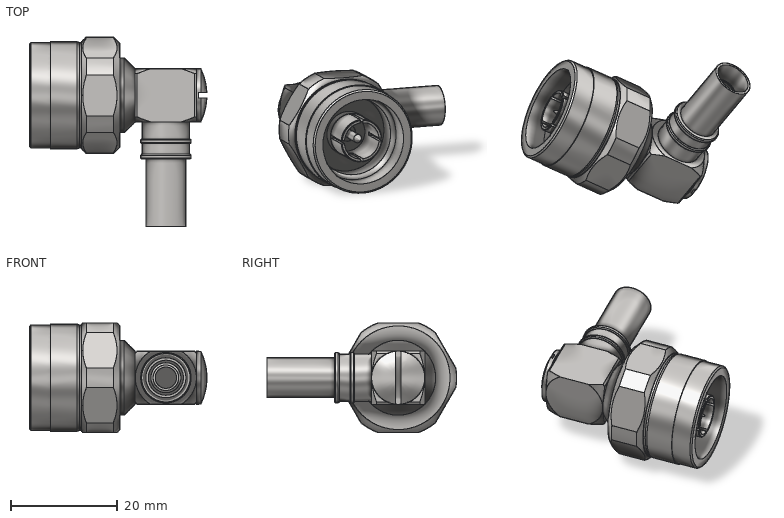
import cadquery as cq
import math


mouth_radius = 9.95
mouth_chamfer = 0.3
sleeve_radius = 10.1
sleeve_step_x = 3.95
sleeve_end_x = 8.96
neck_radius = 9.9
neck_start_x = 9.37
neck_end_x = 9.77
hex_across_flats = 20.6
hex_sides = 6
hex_corner_radius = 11.0
hex_corner_start_x = 10.7
hex_corner_end_x = 15.75
nut_end_x = 17.0
hex_rear_chamfer = nut_end_x - hex_corner_end_x
hex_front_chamfer = hex_corner_start_x - neck_end_x

bore_radius = 8.1
bore_cone_x = 4.0
inner_bore_radius = 7.3
bore_floor_x = 8.4

contact_outer_radius = 4.08
contact_collar_radius = 4.14
contact_inner_radius = 3.48
contact_tip_x = 0.8
contact_tip_chamfer = 0.15
contact_slot_width = 0.55
contact_collar_x = 6.5
pin_radius = 0.8
pin_flat_radius = 0.1
pin_tip_x = 1.25
pin_point_length = 1.7
pin_shoulder_radius = 1.56
pin_shoulder_length = 0.2

flange_radius = 7.05
flange_end_x = 17.8

body_half_height = 5.0
body_start_x = 19.87
body_end_x = 31.4
body_length = body_end_x - body_start_x
body_turned_radius = 7.37
body_face_radius = 5.75
body_chamfer_angle = 30
body_chamfer_depth = (body_turned_radius - body_face_radius) * math.tan(math.radians(body_chamfer_angle))

cap_rim_x = 32.22
cap_top_x = 33.37
cap_slot_width = 1.0
cap_slot_floor_x = 31.8

cable_x = (body_start_x + body_end_x) / 2
stem_radius = 4.46
ring_radius = 4.75
ring_chamfer = 0.2
ring_width = 0.9
ring_starts = (8.2, 11.08)
stem_end = ring_starts[-1] + ring_width
ferrule_radius = 3.76
ferrule_bore_radius = 3.3
cable_end = 24.7
post_radius = 2.82
post_tip_chamfer = 0.42
post_bore_radius = 2.0
post_tip = 21.5


def turned_on_plug_axis(profile):
    """Revolve an (X, radius) outline about the X axis."""
    return cq.Workplane("XY").polyline(profile).close().revolve(360, (0, 0), (1, 0))


def cable_cylinder(radius, start, end):
    """Cylinder on the cable axis between two distances along -Y."""
    plane = cq.Plane(origin=(cable_x, -start, 0), xDir=(1, 0, 0), normal=(0, -1, 0))
    return cq.Workplane(plane).circle(radius).extrude(end - start)


def make_nut():
    sleeve = turned_on_plug_axis([
        (0, 0),
        (0, mouth_radius - mouth_chamfer),
        (mouth_chamfer, mouth_radius),
        (sleeve_step_x, mouth_radius),
        (sleeve_step_x, sleeve_radius),
        (sleeve_end_x, sleeve_radius),
        (neck_start_x, neck_radius),
        (neck_end_x, neck_radius),
        (neck_end_x, 0),
    ])
    hex_across_corners = hex_across_flats / math.cos(math.pi / hex_sides)
    hexagon = (
        cq.Workplane("YZ", origin=(neck_end_x, 0, 0))
        .polygon(hex_sides, hex_across_corners)
        .extrude(nut_end_x - neck_end_x)
    )
    turned_limit = turned_on_plug_axis([
        (neck_end_x, 0),
        (neck_end_x, hex_corner_radius - hex_front_chamfer),
        (hex_corner_start_x, hex_corner_radius),
        (hex_corner_end_x, hex_corner_radius),
        (nut_end_x, hex_corner_radius - hex_rear_chamfer),
        (nut_end_x, 0),
    ])
    bore = turned_on_plug_axis([
        (0, 0),
        (0, bore_radius),
        (bore_cone_x, bore_radius),
        (bore_cone_x + bore_radius - inner_bore_radius, inner_bore_radius),
        (bore_floor_x, inner_bore_radius),
        (bore_floor_x, 0),
    ])
    return sleeve.union(hexagon.intersect(turned_limit)).cut(bore)


def make_outer_contact():
    tube = turned_on_plug_axis([
        (contact_tip_x, contact_inner_radius),
        (contact_tip_x, contact_outer_radius - contact_tip_chamfer),
        (contact_tip_x + contact_tip_chamfer, contact_outer_radius),
        (contact_collar_x, contact_outer_radius),
        (contact_collar_x, contact_collar_radius),
        (bore_floor_x, contact_collar_radius),
        (bore_floor_x, contact_inner_radius),
    ])
    slot_length = contact_collar_x - contact_tip_x
    slot = cq.Workplane("XY").box(
        slot_length, 2 * contact_outer_radius, contact_slot_width, centered=(False, True, True)
    ).translate((contact_tip_x, 0, 0))
    for angle in (0, 90):
        tube = tube.cut(slot.rotate((0, 0, 0), (1, 0, 0), angle))
    return tube


def make_pin():
    shoulder_x = bore_floor_x - pin_shoulder_length
    return turned_on_plug_axis([
        (pin_tip_x, 0),
        (pin_tip_x, pin_flat_radius),
        (pin_tip_x + pin_point_length, pin_radius),
        (shoulder_x, pin_radius),
        (shoulder_x, pin_shoulder_radius),
        (bore_floor_x, pin_shoulder_radius),
        (bore_floor_x, 0),
    ])


def make_flange():
    return turned_on_plug_axis([
        (nut_end_x, 0),
        (nut_end_x, flange_radius),
        (flange_end_x, flange_radius),
        (body_start_x, body_half_height),
        (body_start_x, 0),
    ])


def make_body():
    side = 2 * body_half_height
    block = cq.Workplane("XY").box(body_length, side, side).translate((cable_x, 0, 0))
    turned_limit = (
        cable_cylinder(body_turned_radius, -body_half_height, body_half_height)
        .faces("<Y or >Y")
        .chamfer(body_chamfer_depth, body_turned_radius - body_face_radius)
    )
    return block.intersect(turned_limit)


def make_cap():
    rise = cap_top_x - cap_rim_x
    dome_radius = (body_half_height**2 + rise**2) / (2 * rise)
    half_angle = math.asin(body_half_height / dome_radius) / 2
    dome_centre_x = cap_top_x - dome_radius
    dome_middle = (
        dome_centre_x + dome_radius * math.cos(half_angle),
        dome_radius * math.sin(half_angle),
    )
    cap = (
        cq.Workplane("XY")
        .moveTo(body_end_x, 0)
        .lineTo(body_end_x, body_half_height)
        .lineTo(cap_rim_x, body_half_height)
        .threePointArc(dome_middle, (cap_top_x, 0))
        .close()
        .revolve(360, (0, 0), (1, 0))
    )
    slot = cq.Workplane("XY").box(
        cap_top_x - cap_slot_floor_x, cap_slot_width, 2 * body_half_height,
        centered=(False, True, True),
    ).translate((cap_slot_floor_x, 0, 0))
    return cap.cut(slot)


def make_cable_stem():
    stem = cable_cylinder(stem_radius, body_half_height, stem_end)
    for start in ring_starts:
        ring = cable_cylinder(ring_radius, start, start + ring_width)
        stem = stem.union(ring.faces("<Y or >Y").chamfer(ring_chamfer))
    ferrule = cable_cylinder(ferrule_radius, stem_end, cable_end)
    ferrule_bore = cable_cylinder(ferrule_bore_radius, stem_end, cable_end)
    post = cable_cylinder(post_radius, stem_end, post_tip).faces("<Y").chamfer(post_tip_chamfer)
    post_bore = cable_cylinder(post_bore_radius, stem_end, post_tip)
    return stem.union(ferrule.cut(ferrule_bore)).union(post.cut(post_bore))


result = (
    make_nut()
    .union(make_outer_contact())
    .union(make_pin())
    .union(make_flange())
    .union(make_body())
    .union(make_cap())
    .union(make_cable_stem())
)